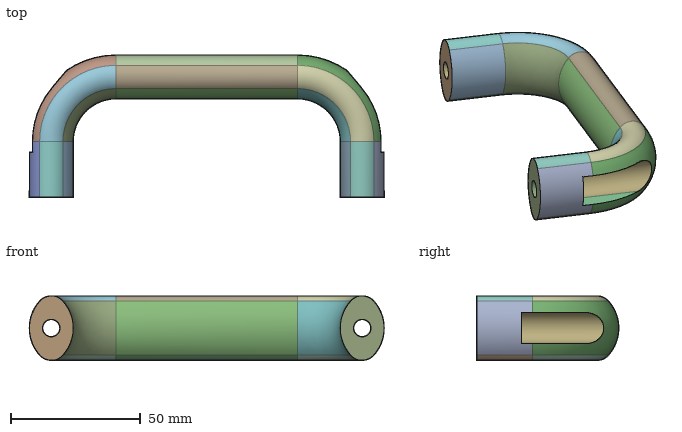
import cadquery as cq
import math

length = 137.0
depth = 55.0
bar_height = 25.0
bar_width = 17.0
end_radius = 6.0
bend_radius = 25.0

screw_hole_diameter = 6.6
screw_recess_diameter = 12.0
recess_floor_height = 17.4

leg_x = (length - bar_width) / 2
mount_y = -depth / 2
grip_y = depth / 2 - bar_width / 2
bend_y = grip_y - bend_radius
straight_half_length = leg_x - bend_radius


def make_section():
    """Oval of four tangent arcs, standing on one mounting face."""
    half_width = bar_width / 2
    half_height = bar_height / 2
    end_center_z = half_height - end_radius
    side_radius = (half_width**2 + end_center_z**2 - end_radius**2) / (2 * (half_width - end_radius))
    side_center_x = side_radius - half_width
    tilt = math.atan2(end_center_z, side_center_x)
    joint_x = end_radius * math.cos(tilt)
    joint_z = end_center_z + end_radius * math.sin(tilt)
    return (
        cq.Workplane("XZ", origin=(-leg_x, mount_y, 0))
        .moveTo(joint_x, -joint_z)
        .threePointArc((half_width, 0), (joint_x, joint_z))
        .threePointArc((0, half_height), (-joint_x, joint_z))
        .threePointArc((-half_width, 0), (-joint_x, -joint_z))
        .threePointArc((0, -half_height), (joint_x, -joint_z))
        .close()
    )


def make_bar():
    """Sweep the oval section along the U-shaped centre line."""
    path = (
        cq.Workplane("XY")
        .moveTo(-leg_x, mount_y)
        .lineTo(-leg_x, bend_y)
        .radiusArc((-straight_half_length, grip_y), bend_radius)
        .lineTo(straight_half_length, grip_y)
        .radiusArc((leg_x, bend_y), bend_radius)
        .lineTo(leg_x, mount_y)
    )
    return make_section().sweep(path)


def make_screw_cut(side):
    """Through hole and recess of one leg; the recess opens outward along X (side is -1 or +1)."""
    hole = (
        cq.Workplane("XZ", origin=(side * leg_x, mount_y, 0))
        .circle(screw_hole_diameter / 2)
        .extrude(-depth)
    )
    floor_y = mount_y + recess_floor_height
    recess_plane = cq.Workplane("XZ", origin=(side * leg_x, floor_y, 0))
    recess_length = depth - recess_floor_height
    recess = recess_plane.circle(screw_recess_diameter / 2).extrude(-recess_length)
    opening = (
        recess_plane.center(side * bar_width / 2, 0)
        .rect(bar_width, screw_recess_diameter)
        .extrude(-recess_length)
    )
    return hole.union(recess).union(opening)


result = make_bar()
for side in (-1, 1):
    result = result.cut(make_screw_cut(side))